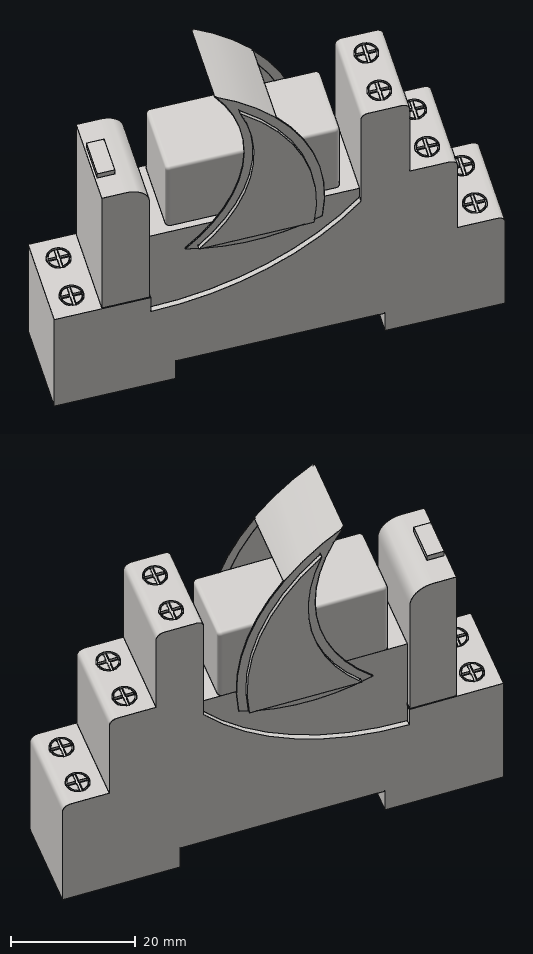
import cadquery as cq

WIDTH = 15.5
HALF_WIDTH = WIDTH / 2
LENGTH = 75.3
BACK_Y = LENGTH / 2
FRONT_Y = -LENGTH / 2

LOW_TERRACE_Z = 23.9
TERRACE_RISE = 18.5
TERRACE_DEPTH = 8.0
TERRACE_COUNT = 3
TERRACE_ROUND = 1.4
TOWER_ROUND = 1.2
DECK_Z = 39.5
BAY_BACK_Y = 13.55
BAY_FRONT_Y = -21.5
RAIL_SLOT_BACK_Y = 17.55
RAIL_SLOT_FRONT_Y = -17.4
RAIL_SLOT_HEIGHT = 4.8

SIDE_RECESS_DEPTH = 0.9
SIDE_RECESS_BOTTOM_Z = 20.0
SIDE_RECESS_RADIUS = 44.5
CHEEK_X = HALF_WIDTH - SIDE_RECESS_DEPTH

SCREW_X = 3.85
SCREW_HEAD_DIAMETER = 3.5
SCREW_HOLE_DIAMETER = 4.0
SCREW_SLOT_WIDTH = 0.5
SCREW_DEPTH = 0.5
FIRST_REAR_SCREW_Y = 33.65
FRONT_SCREW_Y = -33.65

RELAY_LEFT_X = -CHEEK_X
RELAY_RIGHT_X = 5.7
RELAY_BACK_Y = 10.7
RELAY_FRONT_Y = -18.4
RELAY_TOP_Z = 55.2
RELAY_ROUND = 0.75

MODULE_WIDTH = 15.2
MODULE_BACK_Y = -21.7
MODULE_FRONT_Y = -29.7
MODULE_TOP_Z = 54.1
MODULE_ROUND = 4.0
BUTTON_WIDTH = 6.3
BUTTON_X = 0.4
BUTTON_BACK_Y = -26.35
BUTTON_FRONT_Y = -29.3
BUTTON_TOP_Z = RELAY_TOP_Z

ARM_THICKNESS = 0.2
CLIP_HALF_WIDTH = CHEEK_X + ARM_THICKNESS
BRIDGE_BOTTOM_Z = 64.4

FIN_TIP = (-10.7, 74.1)
FIN_BACK_MIDDLE = (4.4, 56.25)
FIN_BACK_BOTTOM = (7.3, 34.65)
FIN_BOTTOM_MIDDLE = (-4.8, 32.15)
FIN_FRONT_BOTTOM = (-15.6, 34.1)
FIN_FRONT_MIDDLE = (-5.95, 53.5)

PAD_TIP = (-6.6, 68.9)
PAD_BACK_TOP = (-3.0, 65.1)
PAD_BACK_MIDDLE = (4.15, 52.3)
PAD_BACK_BOTTOM = (5.7, 34.3)
PAD_FRONT_BOTTOM = (-13.5, 34.2)
PAD_FRONT_MIDDLE = (-4.7, 51.95)


def block(x_range, y_range, z_range):
    """Axis-aligned box between the given limits."""
    ranges = (x_range, y_range, z_range)
    size = [high - low for low, high in ranges]
    corner = tuple(low for low, high in ranges)
    return cq.Workplane("XY").box(*size, centered=False).translate(corner)


def extruded(outline, x_start, x_end):
    """Solid from a closed YZ outline, between two X positions."""
    return outline.extrude(x_end - x_start).translate((x_start, 0, 0))


def housing_outline():
    outline = cq.Workplane("YZ").moveTo(FRONT_Y, 0).lineTo(FRONT_Y, LOW_TERRACE_Z)
    outline = outline.lineTo(BAY_FRONT_Y, LOW_TERRACE_Z).lineTo(BAY_FRONT_Y, DECK_Z)
    outline = outline.lineTo(BAY_BACK_Y, DECK_Z)
    terrace_front_y = BAY_BACK_Y
    for step in reversed(range(TERRACE_COUNT)):
        terrace_z = LOW_TERRACE_Z + step * TERRACE_RISE
        terrace_back_y = BACK_Y - step * TERRACE_DEPTH
        outline = outline.lineTo(terrace_front_y, terrace_z).lineTo(terrace_back_y, terrace_z)
        terrace_front_y = terrace_back_y
    outline = outline.lineTo(BACK_Y, 0).lineTo(RAIL_SLOT_BACK_Y, 0)
    outline = outline.lineTo(RAIL_SLOT_BACK_Y, RAIL_SLOT_HEIGHT)
    outline = outline.lineTo(RAIL_SLOT_FRONT_Y, RAIL_SLOT_HEIGHT)
    return outline.lineTo(RAIL_SLOT_FRONT_Y, 0).close()


def round_terraces(body):
    for step in range(TERRACE_COUNT):
        edge_point = (0, BACK_Y - step * TERRACE_DEPTH, LOW_TERRACE_Z + step * TERRACE_RISE)
        body = body.edges(cq.NearestToPointSelector(edge_point)).fillet(TERRACE_ROUND)
    tower_top_z = LOW_TERRACE_Z + (TERRACE_COUNT - 1) * TERRACE_RISE
    tower_edge = cq.NearestToPointSelector((0, BAY_BACK_Y, tower_top_z))
    return body.edges(tower_edge).fillet(TOWER_ROUND)


def side_recess(x_start, x_end):
    """Cutter: the bay area above a large arc that is level at its front end."""
    bay = block((x_start, x_end), (BAY_FRONT_Y, BAY_BACK_Y), (SIDE_RECESS_BOTTOM_Z, DECK_Z))
    arc_centre_z = SIDE_RECESS_BOTTOM_Z + SIDE_RECESS_RADIUS
    disc = cq.Workplane("YZ").center(BAY_FRONT_Y, arc_centre_z).circle(SIDE_RECESS_RADIUS)
    return bay.intersect(extruded(disc, x_start, x_end))


def screw_cutter(x, y, z):
    """Ring-shaped gap around a screw head, and the cross slot in the head."""
    floor = cq.Workplane("XY", origin=(x, y, z - SCREW_DEPTH))
    gap = floor.circle(SCREW_HOLE_DIAMETER / 2).circle(SCREW_HEAD_DIAMETER / 2).extrude(SCREW_DEPTH)
    slot = floor.rect(SCREW_HEAD_DIAMETER, SCREW_SLOT_WIDTH).extrude(SCREW_DEPTH)
    cross_slot = floor.rect(SCREW_SLOT_WIDTH, SCREW_HEAD_DIAMETER).extrude(SCREW_DEPTH)
    return gap.union(slot).union(cross_slot)


def make_housing():
    body = extruded(housing_outline(), -HALF_WIDTH, HALF_WIDTH)
    body = round_terraces(body)
    body = body.cut(side_recess(-HALF_WIDTH, -CHEEK_X))
    body = body.cut(side_recess(CHEEK_X, HALF_WIDTH))
    screw_rows = [(FRONT_SCREW_Y, LOW_TERRACE_Z)]
    for step in range(TERRACE_COUNT):
        screw_y = FIRST_REAR_SCREW_Y - step * TERRACE_DEPTH
        screw_rows.append((screw_y, LOW_TERRACE_Z + step * TERRACE_RISE))
    for y, z in screw_rows:
        for x in (-SCREW_X, SCREW_X):
            body = body.cut(screw_cutter(x, y, z))
    return body


def make_relay():
    body = block((RELAY_LEFT_X, RELAY_RIGHT_X), (RELAY_FRONT_Y, RELAY_BACK_Y), (DECK_Z, RELAY_TOP_Z))
    return body.edges("|Z or >Z").fillet(RELAY_ROUND)


def make_module():
    half = MODULE_WIDTH / 2
    body = block((-half, half), (MODULE_FRONT_Y, MODULE_BACK_Y), (LOW_TERRACE_Z, MODULE_TOP_Z))
    body = body.edges(">Z and >Y").fillet(MODULE_ROUND)
    button_x = (BUTTON_X - BUTTON_WIDTH / 2, BUTTON_X + BUTTON_WIDTH / 2)
    button = block(button_x, (BUTTON_FRONT_Y, BUTTON_BACK_Y), (MODULE_TOP_Z, BUTTON_TOP_Z))
    return body.union(button)


def fin_outline():
    outline = cq.Workplane("YZ").moveTo(*FIN_TIP)
    outline = outline.threePointArc(FIN_BACK_MIDDLE, FIN_BACK_BOTTOM)
    outline = outline.threePointArc(FIN_BOTTOM_MIDDLE, FIN_FRONT_BOTTOM)
    return outline.threePointArc(FIN_FRONT_MIDDLE, FIN_TIP).close()


def pad_outline():
    outline = cq.Workplane("YZ").moveTo(*PAD_TIP).lineTo(*PAD_BACK_TOP)
    outline = outline.threePointArc(PAD_BACK_MIDDLE, PAD_BACK_BOTTOM)
    outline = outline.lineTo(*PAD_FRONT_BOTTOM)
    return outline.threePointArc(PAD_FRONT_MIDDLE, PAD_TIP).close()


def make_clip():
    """Two thin fin-shaped arms joined by a bridge under their tips; each arm has a pad window."""
    body = extruded(fin_outline(), -CLIP_HALF_WIDTH, CLIP_HALF_WIDTH)
    body = body.cut(extruded(pad_outline(), -CLIP_HALF_WIDTH, CLIP_HALF_WIDTH))
    below_bridge = block((-CHEEK_X, CHEEK_X), (FRONT_Y, BACK_Y), (0, BRIDGE_BOTTOM_Z))
    under_bridge = cq.Workplane("YZ").moveTo(*FIN_TIP).lineTo(*PAD_TIP).lineTo(*PAD_BACK_TOP)
    under_bridge = under_bridge.lineTo(PAD_BACK_TOP[0], 0).lineTo(FIN_TIP[0], 0).close()
    under_bridge = extruded(under_bridge, -CHEEK_X, CHEEK_X)
    return body.cut(below_bridge).cut(under_bridge)


def make_pad(side):
    """Pad in one arm, flush with the arm inside and with the housing outside."""
    inner_x, outer_x = sorted((side * CHEEK_X, side * HALF_WIDTH))
    return extruded(pad_outline(), inner_x, outer_x)


housing = make_housing()
relay = make_relay()
module = make_module()
clip = make_clip()
pads = [make_pad(side) for side in (-1, 1)]

result = cq.Compound.makeCompound(
    [housing.val(), relay.val(), module.val(), clip.val(), *[pad.val() for pad in pads]]
)